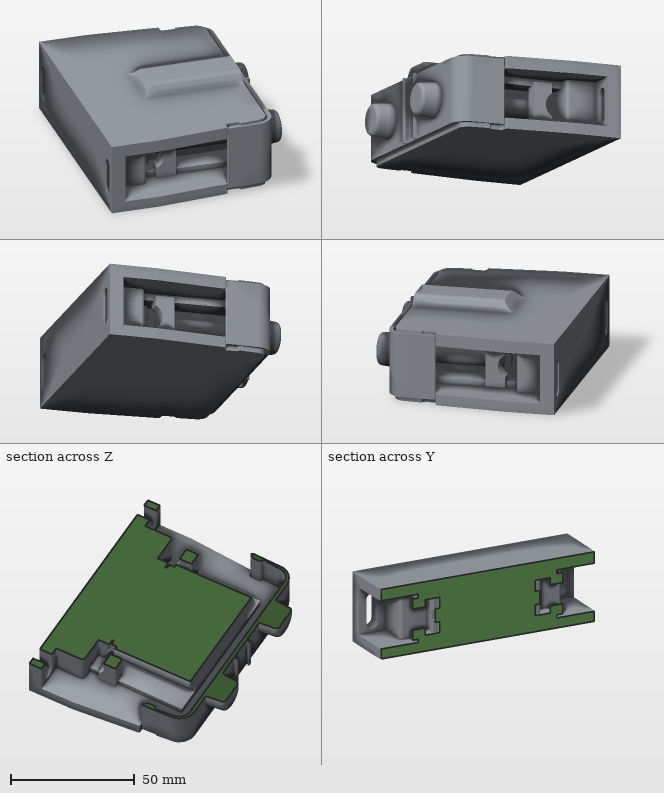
import cadquery as cq
import math

HALF_WIDTH = 49.0
HOUSING_TOP = 30.1
OVERALL_TOP = 34.0
HOUSING_BACK = 67.9
TAPER_START_Y = 20.2
SHOULDER_X = 46.55
SHOULDER_Y = 49.9
SHOULDER_CHAMFER = 0.3

LATCH_X = 43.2
LATCH_FRONT_Y = 52.1
LATCH_BACK_Y = 55.5
SEAT_FRONT_X = 44.5
SEAT_FRONT_Y = 56.3
SEAT_BACK_X = 43.8
SEAT_BACK_Y = 64.1
CORNER_TOP_X = 39.2
CLEARANCE = 0.1

CAVITY_FRONT = 5.8
FLOOR_Z = 4.5
CEILING_Z = 25.0
CAVITY_SPAN = (FLOOR_Z, CEILING_Z)

SLOT_X = 43.0
SLOT_Z = 13.9
SLOT_WIDTH = 5.3
SLOT_HEIGHT = 15.2

COLUMN_HALF_WIDTH = 36.75
COLUMN_BACK = 18.5
COLUMN_ROUND = 1.5
CORE_BACK = 61.5
CORE_FRONT_HALF_WIDTH = 31.7
CORE_BACK_HALF_WIDTH = 32.4
CHANNEL_HEIGHT = 15.0
AXIS_X = 22.0
AXIS_Z = 14.6
BARREL_RADIUS = 4.1
BARREL_FRONT = 26.5
TONGUE_TIP_Y = 23.5
TONGUE_BULGE = 1.6
TONGUE_THICKNESS = 2.0
RIB_BACK = 23.4
RIB_ROUND = 0.6
RIB_HALF_WIDTH = 24.5
GAP_FRONT = 22.7
GAP_BACK = 23.4
GAP_HEIGHT = 3.9

BLOCK_FRONT = 23.9
BLOCK_BACK = 31.85
BLOCK_HALF_WIDTH = 34.3
BLOCK_HEIGHT = 17.9
BLOCK_DEPTH = 5.9
BLOCK_NOTCH_RADIUS = 5.3
BLOCK_NOTCH_Y = 21.5

PAD_TOE_HALF_WIDTH = 12.2
PAD_FOOT_HALF_WIDTH = 10.1
PAD_SHOULDER_HALF_WIDTH = 8.0
PAD_CREST_HALF_WIDTH = 5.6
PAD_FOOT_Z = 30.8
PAD_SHOULDER_Z = 33.1
PAD_TOE_Y = 25.2
PAD_FOOT_Y = 27.4
PAD_CREST_Y = 30.6

COVER_BOTTOM = 2.0
COVER_TOP = 29.0
COVER_FRONT = 50.2
COVER_EDGE_CHAMFER = 0.4
COVER_BACK = 70.8
COVER_INNER_BACK = 69.0
COVER_FRONT_HALF_WIDTH = 45.6
COVER_CORNER_HALF_WIDTH = 45.2
COVER_CORNER_X = 38.3
COVER_CORNER_Y = 63.3
LIP_END_X = 44.7
KNOB_BASE_RADIUS = 7.35
KNOB_TIP_RADIUS = 6.6
KNOB_TIP_Y = 79.0
KNOB_ROUND = 1.7
HOOK_OUTER_X = 5.7
HOOK_STEM = 0.8
HOOK_REACH = 1.4
HOOK_HEIGHT = 1.4
HOOK_HEAD = 0.7


def box(x_range, y_range, z_range):
    """Axis-aligned block between the given limits."""
    return cq.Workplane("XY").box(
        x_range[1] - x_range[0],
        y_range[1] - y_range[0],
        z_range[1] - z_range[0],
        centered=False,
    ).translate((x_range[0], y_range[0], z_range[0]))


def centred_box(half_width, y_range, z_range):
    """Block symmetric about the YZ plane."""
    return box((-half_width, half_width), y_range, z_range)


def span_about_axis(height):
    """Z limits of a feature centred on the barrel and knob axis."""
    return (AXIS_Z - height / 2, AXIS_Z + height / 2)


def with_mirror(half):
    """A shape joined to its mirror image across the YZ plane."""
    return half.union(half.mirror("YZ"))


def corner_arc_middle(side_x, side_y, back_x, back_y):
    """Midpoint of the quarter ellipse that rounds a back corner."""
    diagonal = math.sqrt(0.5)
    x = back_x + (side_x - back_x) * diagonal
    y = side_y + (back_y - side_y) * diagonal
    return (x, y)


def make_shell():
    """Tapered outer block of the housing with stepped, rounded seats for the cover."""
    seat_front_x = SEAT_FRONT_X - CLEARANCE
    seat_back_x = SEAT_BACK_X - CLEARANCE
    latch_x = LATCH_X - CLEARANCE
    half = (
        cq.Workplane("XY")
        .moveTo(0, 0)
        .lineTo(HALF_WIDTH, 0)
        .lineTo(HALF_WIDTH, TAPER_START_Y)
        .lineTo(SHOULDER_X, SHOULDER_Y - SHOULDER_CHAMFER)
        .lineTo(SHOULDER_X - SHOULDER_CHAMFER, SHOULDER_Y)
        .lineTo(LIP_END_X, SHOULDER_Y)
        .tangentArcPoint((latch_x, LATCH_FRONT_Y - CLEARANCE), relative=False)
        .lineTo(latch_x, LATCH_BACK_Y)
        .lineTo(seat_front_x, SEAT_FRONT_Y)
        .lineTo(seat_back_x, SEAT_BACK_Y)
        .threePointArc(
            corner_arc_middle(seat_back_x, SEAT_BACK_Y, CORNER_TOP_X, HOUSING_BACK),
            (CORNER_TOP_X, HOUSING_BACK),
        )
        .lineTo(0, HOUSING_BACK)
        .close()
        .extrude(HOUSING_TOP)
    )
    return with_mirror(half)


def arc_from_flat(start, end):
    """Midpoint of the arc that leaves a horizontal line at start and reaches end."""
    run = end[0] - start[0]
    rise = end[1] - start[1]
    radius = (run**2 + rise**2) / (2 * abs(rise))
    half_turn = math.atan2(abs(rise), abs(run))
    x = start[0] + math.copysign(radius * math.sin(half_turn), run)
    y = start[1] + math.copysign(radius * (1 - math.cos(half_turn)), rise)
    return (x, y)


def make_pad():
    """Raised pad: the overlap of a cross profile along Y and a length profile along X."""
    toe = (PAD_TOE_HALF_WIDTH, HOUSING_TOP)
    foot = (PAD_FOOT_HALF_WIDTH, PAD_FOOT_Z)
    shoulder = (PAD_SHOULDER_HALF_WIDTH, PAD_SHOULDER_Z)
    crest = (PAD_CREST_HALF_WIDTH, OVERALL_TOP)
    half_across = (
        cq.Workplane("XZ")
        .moveTo(0, HOUSING_TOP)
        .lineTo(*toe)
        .threePointArc(arc_from_flat(toe, foot), foot)
        .lineTo(*shoulder)
        .threePointArc(arc_from_flat(crest, shoulder), crest)
        .lineTo(0, OVERALL_TOP)
        .close()
        .extrude(-HOUSING_BACK)
    )
    front_toe = (PAD_TOE_Y, HOUSING_TOP)
    front_foot = (PAD_FOOT_Y, PAD_FOOT_Z)
    lengthwise = (
        cq.Workplane("YZ")
        .moveTo(HOUSING_BACK, HOUSING_TOP)
        .lineTo(*front_toe)
        .threePointArc(arc_from_flat(front_toe, front_foot), front_foot)
        .lineTo(PAD_CREST_Y, OVERALL_TOP)
        .lineTo(HOUSING_BACK, OVERALL_TOP)
        .close()
        .extrude(PAD_TOE_HALF_WIDTH, both=True)
    )
    return with_mirror(half_across).intersect(lengthwise)


def make_strap_slots():
    """Two upright slots through the front wall into the cavity."""
    return (
        cq.Workplane("XZ")
        .pushPoints([(-SLOT_X, SLOT_Z), (SLOT_X, SLOT_Z)])
        .slot2D(SLOT_HEIGHT, SLOT_WIDTH, 90)
        .extrude(-CAVITY_FRONT)
    )


def make_column():
    """Full-height block behind the front wall, rounded at its two back edges."""
    column = centred_box(COLUMN_HALF_WIDTH, (CAVITY_FRONT, COLUMN_BACK), CAVITY_SPAN)
    return column.edges("|Z and >Y").fillet(COLUMN_ROUND)


def make_barrel():
    """Round bar along Y, half sunk in the channel floor."""
    return (
        cq.Workplane("XZ")
        .center(AXIS_X, AXIS_Z)
        .circle(BARREL_RADIUS)
        .extrude(BARREL_FRONT - CORE_BACK)
        .translate((0, BARREL_FRONT, 0))
    )


def make_tongue():
    """Flat plate ahead of the barrel, with an arched front end."""
    shoulder_y = TONGUE_TIP_Y + TONGUE_BULGE
    bottom_z = AXIS_Z - BARREL_RADIUS
    top_z = AXIS_Z + BARREL_RADIUS
    return (
        cq.Workplane("YZ")
        .workplane(offset=AXIS_X)
        .moveTo(BARREL_FRONT, bottom_z)
        .lineTo(shoulder_y, bottom_z)
        .threePointArc((TONGUE_TIP_Y, AXIS_Z), (shoulder_y, top_z))
        .lineTo(BARREL_FRONT, top_z)
        .close()
        .extrude(TONGUE_THICKNESS)
    )


def make_stop_block():
    """Block standing proud of the core, with a round notch in its front edge."""
    block = box(
        (BLOCK_HALF_WIDTH - BLOCK_DEPTH, BLOCK_HALF_WIDTH),
        (BLOCK_FRONT, BLOCK_BACK),
        span_about_axis(BLOCK_HEIGHT),
    )
    notch = (
        cq.Workplane("YZ")
        .center(BLOCK_NOTCH_Y, AXIS_Z)
        .circle(BLOCK_NOTCH_RADIUS)
        .extrude(BLOCK_HALF_WIDTH)
    )
    return block.cut(notch)


def make_core():
    """Drafted centre block with channel, barrel, tongue, rib and stop block on each side."""
    core = (
        cq.Workplane("XY")
        .workplane(offset=FLOOR_Z)
        .polyline([
            (-CORE_FRONT_HALF_WIDTH, COLUMN_BACK),
            (CORE_FRONT_HALF_WIDTH, COLUMN_BACK),
            (CORE_BACK_HALF_WIDTH, CORE_BACK),
            (-CORE_BACK_HALF_WIDTH, CORE_BACK),
        ])
        .close()
        .extrude(CEILING_Z - FLOOR_Z)
    )
    channel = box(
        (AXIS_X, COLUMN_HALF_WIDTH),
        (COLUMN_BACK, CORE_BACK),
        span_about_axis(CHANNEL_HEIGHT),
    )
    core = core.cut(with_mirror(channel))
    rib = centred_box(RIB_HALF_WIDTH, (COLUMN_BACK, RIB_BACK), span_about_axis(CHANNEL_HEIGHT))
    core = core.union(rib.edges("|Z and >Y").fillet(RIB_ROUND))
    for side_feature in (make_barrel(), make_tongue(), make_stop_block()):
        core = core.union(side_feature).union(side_feature.mirror("YZ"))
    gap = centred_box(BLOCK_HALF_WIDTH, (GAP_FRONT, GAP_BACK), span_about_axis(GAP_HEIGHT))
    return core.cut(gap)


def make_housing():
    """Shell with its cavity and slots, the pad on top and the core inside."""
    cavity = centred_box(HALF_WIDTH, (CAVITY_FRONT, HOUSING_BACK), CAVITY_SPAN)
    return (
        make_shell()
        .cut(cavity)
        .cut(make_strap_slots())
        .union(make_pad())
        .union(make_column())
        .union(make_core())
    )


def make_cover_band():
    """U-shaped band with rounded corners and a latch lip at the end of each arm."""
    half = (
        cq.Workplane("XY")
        .workplane(offset=COVER_BOTTOM)
        .moveTo(0, COVER_BACK)
        .lineTo(COVER_CORNER_X, COVER_BACK)
        .threePointArc(
            corner_arc_middle(
                COVER_CORNER_HALF_WIDTH, COVER_CORNER_Y, COVER_CORNER_X, COVER_BACK
            ),
            (COVER_CORNER_HALF_WIDTH, COVER_CORNER_Y),
        )
        .lineTo(COVER_FRONT_HALF_WIDTH, COVER_FRONT + COVER_EDGE_CHAMFER)
        .lineTo(COVER_FRONT_HALF_WIDTH - COVER_EDGE_CHAMFER, COVER_FRONT)
        .lineTo(LIP_END_X, COVER_FRONT)
        .lineTo(LATCH_X, LATCH_FRONT_Y)
        .lineTo(LATCH_X, LATCH_BACK_Y)
        .lineTo(SEAT_FRONT_X, SEAT_FRONT_Y)
        .lineTo(SEAT_BACK_X, SEAT_BACK_Y)
        .threePointArc(
            corner_arc_middle(SEAT_BACK_X, SEAT_BACK_Y, COVER_CORNER_X, COVER_INNER_BACK),
            (COVER_CORNER_X, COVER_INNER_BACK),
        )
        .lineTo(0, COVER_INNER_BACK)
        .close()
        .extrude(COVER_TOP - COVER_BOTTOM)
    )
    return with_mirror(half)


def make_knob():
    """Tapered round knob along Y with a rounded tip."""
    knob = (
        cq.Workplane("XY")
        .moveTo(0, COVER_BACK)
        .lineTo(KNOB_BASE_RADIUS, COVER_BACK)
        .lineTo(KNOB_TIP_RADIUS, KNOB_TIP_Y)
        .lineTo(0, KNOB_TIP_Y)
        .close()
        .revolve(360, (0, 0, 0), (0, 1, 0))
    )
    return knob.faces(">Y").edges().fillet(KNOB_ROUND).translate((AXIS_X, 0, AXIS_Z))


def make_hook():
    """Rail on the back of the cover whose head points towards the middle."""
    tip_y = COVER_BACK + HOOK_HEIGHT
    z_range = (COVER_BOTTOM, COVER_TOP)
    stem = box((HOOK_OUTER_X - HOOK_STEM, HOOK_OUTER_X), (COVER_BACK, tip_y), z_range)
    head = box((HOOK_OUTER_X - HOOK_REACH, HOOK_OUTER_X), (tip_y - HOOK_HEAD, tip_y), z_range)
    return stem.union(head)


def make_cover():
    """Band with its two knobs and two hook rails."""
    cover = make_cover_band()
    for half_feature in (make_knob(), make_hook()):
        cover = cover.union(half_feature).union(half_feature.mirror("YZ"))
    return cover


housing = make_housing()
cover = make_cover()
result = cq.Compound.makeCompound([housing.val(), cover.val()])